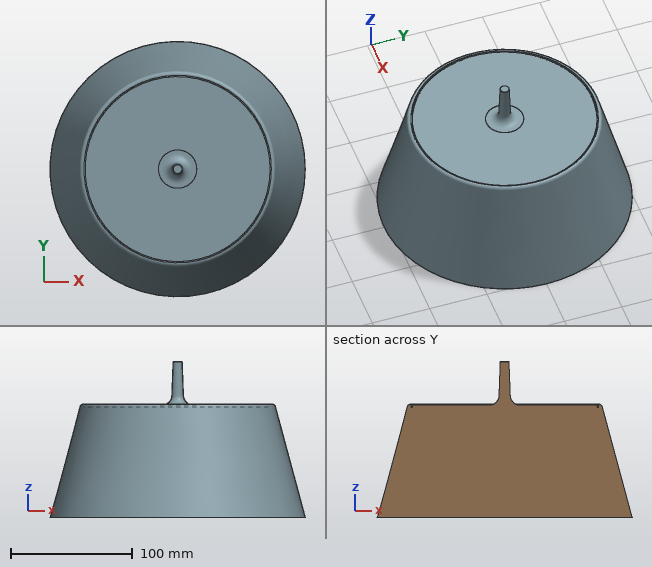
import cadquery as cq
import math

base_radius = 105.0
rim_edge_height = 93.2
wall_end_radius = 80.5
wall_end_height = 91.1

rim_inner_radius = 77.0
lid_radius = 76.0
lid_height = 92.8
groove_depth = 2.0

foot_radius = 15.8
foot_height = 92.6

total_height = 128.0
flare_radius = 12.5
stem_bottom_radius = 4.8
stem_top_radius = 3.8
flare_top_height = foot_height + flare_radius - stem_bottom_radius
tip_chamfer = 0.2


def make_body():
    """Revolve the solid body with its rounded rim and groove."""
    groove_floor = lid_height - groove_depth
    profile = (
        cq.Workplane("XZ")
        .lineTo(base_radius, 0)
        .lineTo(wall_end_radius, wall_end_height)
        .tangentArcPoint((rim_inner_radius, rim_edge_height), relative=False)
        .lineTo(rim_inner_radius, groove_floor)
        .lineTo(lid_radius, groove_floor)
        .lineTo(lid_radius, lid_height)
        .lineTo(foot_radius, lid_height)
        .lineTo(foot_radius, foot_height)
        .lineTo(0, foot_height)
        .close()
    )
    return profile.revolve(360, (0, 0, 0), (0, 1, 0))


def make_stem():
    """Revolve the slender stem, rooted inside the body."""
    arc_size = flare_radius - stem_bottom_radius
    arc_offset = arc_size * math.sqrt(0.5)
    arc_middle = (flare_radius - arc_offset, flare_top_height - arc_offset)
    root_height = foot_height - groove_depth
    profile = (
        cq.Workplane("XZ")
        .moveTo(0, root_height)
        .lineTo(flare_radius, root_height)
        .lineTo(flare_radius, foot_height)
        .threePointArc(arc_middle, (stem_bottom_radius, flare_top_height))
        .lineTo(stem_top_radius, total_height - tip_chamfer)
        .lineTo(stem_top_radius - tip_chamfer, total_height)
        .lineTo(0, total_height)
        .close()
    )
    return profile.revolve(360, (0, 0, 0), (0, 1, 0))


result = make_body().union(make_stem())